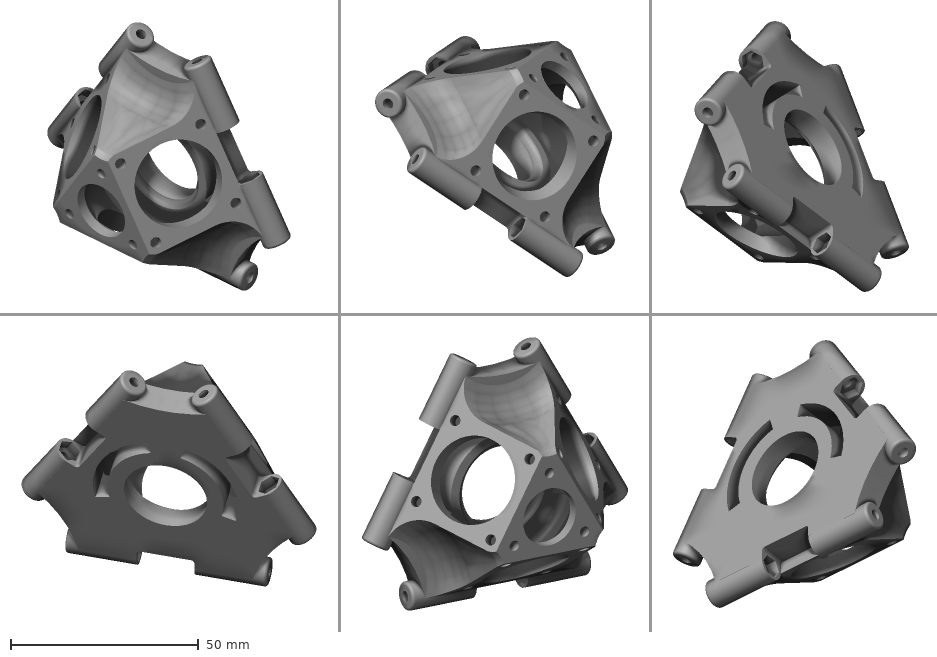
import cadquery as cq
import math


total_depth = 33.0
plate_thickness = 8.05
back_apothem = 26.9
front_apothem = 10.8
face_wall = 3.6
front_wall = 3.0

face_half_width = 15.05
face_corner_radius = 2.0
face_flare_radius = 10.5
face_flare_reach = 8.8

face_bore = 24.0
face_bore_depth = 7.4
tapered_bore_end = 19.9
face_screw_hole = 3.0
face_screw_spacing = 24.0
face_screw_depth = 4.0

front_bore = 16.2
front_screw_hole = 2.9
front_screw_depth = 2.4
front_screw_circle = 25.0

valley_front_z = 16.0
valley_tip_z = 18.45
valley_bend_y = -15.3
valley_bend_z = 21.1
flare_steps = 5

corner_arc_radius = 40.3
corner_arc_reach = 32.4
recess_apothem = 23.2
recess_corner_radius = 1.0

tube_diameter = 8.0
tube_inner_end = 7.9
tube_outer_end = 27.6
tube_rounding = 0.8
tube_hole = 3.0
nut_corners = 6.7
nut_depth = 3.0

cavity_diameter = 39.8
cavity_front_diameter = 22.55
cavity_shoulder_y = -12.5
cavity_rounding = 1.9
hub_bore = 22.7
hub_diameter = 31.9
slot_span = 90.0
slot_middles = (30, 150)

slope_rise = total_depth - plate_thickness
slope_run = back_apothem - front_apothem
slope_length = math.hypot(slope_rise, slope_run)
slope_cos = slope_rise / slope_length
slope_sin = slope_run / slope_length
cavity_radius = cavity_diameter / 2
cavity_floor_y = -plate_thickness
cavity_rounding_y = cavity_floor_y - cavity_rounding
cavity_front_y = -total_depth + front_wall
hub_radius = hub_bore / 2
tube_length = tube_outer_end - tube_inner_end
side_cos = math.cos(math.radians(30))
side_sin = math.sin(math.radians(30))


def three_times(shape):
    """The shape and its two copies turned about the Y axis."""
    return [shape.rotate((0, 0, 0), (0, 1, 0), angle) for angle in (0, 120, 240)]


def six_times(shape):
    """The shape and its mirror image, each three times."""
    return three_times(shape) + three_times(shape.mirror("YZ"))


def cut_all(target, tools):
    for tool in tools:
        target = target.cut(tool, clean=False)
    return target


def triangle(y, apothem):
    """Wire of a triangle across the axis, with one side at the bottom."""
    half_side = apothem * side_cos / side_sin
    corners = [
        cq.Vector(-half_side, y, -apothem),
        cq.Vector(half_side, y, -apothem),
        cq.Vector(0, y, apothem / side_sin),
    ]
    return cq.Wire.makePolygon(corners, close=True)


def pyramid(y_back, apothem_back, y_front, apothem_front):
    ends = [triangle(y_back, apothem_back), triangle(y_front, apothem_front)]
    return cq.Workplane(cq.Solid.makeLoft(ends, True))


def across_axis(y, z=0):
    """Workplane across the axis at y; extruding from it runs towards the front."""
    return cq.Workplane("XZ", origin=(0, y, z))


def scoop_section(half_width, slope_distance, valley_y, valley_z):
    """Circle through a valley point and the points at equal height on two face outlines.

    The face points lie slope_distance down the slope from the front edge.
    """
    apothem = front_apothem + slope_distance * slope_sin
    half_chord = side_cos * apothem - side_sin * half_width
    chord_y = -total_depth + slope_distance * slope_cos
    chord_z = side_sin * apothem + side_cos * half_width
    sag = cq.Vector(0, chord_y - valley_y, chord_z - valley_z)
    radius = (half_chord**2 + sag.Length**2) / (2 * sag.Length)
    center = cq.Vector(0, valley_y, valley_z) + sag.normalized() * radius
    plane = cq.Plane(center, (1, 0, 0), cq.Vector(1, 0, 0).cross(sag))
    return cq.Workplane(plane).circle(radius).wires().val()


def tip_sections():
    """Sections along the rounded corners at the front of the faces."""
    sections = []
    for turn in (math.pi / 2, math.pi / 4, 0):
        rounded_off = 1 - math.cos(turn)
        slope_distance = face_corner_radius * (1 - math.sin(turn))
        sections.append(
            scoop_section(
                face_half_width - face_corner_radius * rounded_off,
                slope_distance,
                -total_depth + slope_distance * slope_cos,
                valley_tip_z - (valley_tip_z - valley_front_z) * rounded_off,
            )
        )
    return sections


def flare_sections():
    """Sections along the arcs that widen the faces; the valley bends with them down to the plate."""
    flare_angle = math.acos(1 - face_flare_reach / face_flare_radius)
    flare_start = slope_length - face_flare_radius * math.sin(flare_angle)
    valley_tip_y = -total_depth + face_corner_radius * slope_cos
    bend_start = math.atan2(valley_bend_z - valley_tip_z, valley_bend_y - valley_tip_y)
    bend_radius = (-plate_thickness - valley_bend_y) / (1 - math.sin(bend_start))
    sections = []
    for step in range(flare_steps + 1):
        progress = step / flare_steps
        turn = flare_angle * progress
        bend = bend_start + (math.pi / 2 - bend_start) * progress
        sections.append(
            scoop_section(
                face_half_width + face_flare_radius * (1 - math.cos(turn)),
                flare_start + face_flare_radius * math.sin(turn),
                valley_bend_y + bend_radius * (math.sin(bend) - math.sin(bend_start)),
                valley_bend_z + bend_radius * (math.cos(bend_start) - math.cos(bend)),
            )
        )
    return sections


def scoop_pieces():
    """Rounded tip, straight cone and flare of the scoop at the top corner."""
    tip = tip_sections()
    flare = flare_sections()
    return [
        cq.Workplane(cq.Solid.makeLoft(tip, False)),
        cq.Workplane(cq.Solid.makeLoft([tip[-1], flare[0]], True)),
        cq.Workplane(cq.Solid.makeLoft(flare, False)),
    ]


def corner_cut():
    """Shallow arc that takes off the top corner of the plate."""
    center_z = corner_arc_reach + corner_arc_radius
    return across_axis(0, center_z).circle(corner_arc_radius).extrude(plate_thickness)


def side_recess():
    """Recess in the bottom side of the plate, between its two tubes."""
    height = 2 * (back_apothem - recess_apothem)
    block = across_axis(0, -back_apothem).rect(2 * tube_inner_end, height).extrude(plate_thickness)
    return block.edges("|Y and >Z").fillet(recess_corner_radius)


def cavity():
    """Round cavity with a rounded floor, kept a wall inside the sloping faces."""
    revolved = (
        cq.Workplane("XY")
        .moveTo(0, cavity_front_y)
        .lineTo(cavity_front_diameter / 2, cavity_front_y)
        .lineTo(cavity_radius, cavity_shoulder_y)
        .lineTo(cavity_radius, cavity_rounding_y)
        .radiusArc((cavity_radius - cavity_rounding, cavity_floor_y), -cavity_rounding)
        .lineTo(0, cavity_floor_y)
        .close()
        .revolve(360, (0, 0, 0), (0, 1, 0))
    )
    inset = face_wall / slope_cos
    apothem_at_back = back_apothem + plate_thickness * slope_run / slope_rise
    inside = pyramid(0, apothem_at_back - inset, -total_depth, front_apothem - inset)
    return revolved.intersect(inside)


def hub_hole():
    """Bore through the hub, with a rounded edge at the cavity floor."""
    return (
        cq.Workplane("XY")
        .lineTo(hub_radius, 0)
        .lineTo(hub_radius, cavity_floor_y + cavity_rounding)
        .radiusArc((hub_radius + cavity_rounding, cavity_floor_y), cavity_rounding)
        .lineTo(0, cavity_floor_y)
        .close()
        .revolve(360, (0, 0, 0), (0, 1, 0))
    )


def floor_slots():
    """Curved slots through the cavity floor beside the hub."""
    slot = (
        cq.Workplane("XY")
        .moveTo(hub_diameter / 2, 0)
        .lineTo(cavity_radius, 0)
        .lineTo(cavity_radius, cavity_rounding_y)
        .lineTo(hub_diameter / 2, cavity_rounding_y)
        .close()
        .revolve(slot_span, (0, 0, 0), (0, 1, 0))
    )
    return [slot.rotate((0, 0, 0), (0, 1, 0), -slot_span / 2 - middle) for middle in slot_middles]


def tube_end():
    """Workplane at the inner end of the right-hand tube on the bottom side."""
    return cq.Workplane("YZ", origin=(tube_inner_end, -plate_thickness / 2, -back_apothem))


def tube():
    cylinder = tube_end().circle(tube_diameter / 2).extrude(tube_length)
    return cylinder.faces(">X").edges().fillet(tube_rounding)


def tube_bore():
    return tube_end().circle(tube_hole / 2).extrude(tube_length)


def nut_pocket():
    return tube_end().polygon(6, nut_corners).extrude(nut_depth)


def bottom_face():
    """Workplane in the middle of the bottom face, looking outwards."""
    center = (0, -(total_depth + plate_thickness) / 2, -(front_apothem + back_apothem) / 2)
    return cq.Workplane(cq.Plane(center, (1, 0, 0), (0, -slope_sin, -slope_cos)))


def tapered_bore():
    start = bottom_face().circle(face_bore / 2)
    return start.workplane(offset=-face_bore_depth).circle(tapered_bore_end / 2).loft()


def straight_bores():
    """Bores in the two upper faces."""
    return three_times(bottom_face().circle(face_bore / 2).extrude(-face_bore_depth))[1:]


def face_screw_holes():
    corners = bottom_face().rect(face_screw_spacing, face_screw_spacing, forConstruction=True).vertices()
    return corners.circle(face_screw_hole / 2).extrude(-face_screw_depth)


def front_hole():
    return across_axis(cavity_front_y).circle(front_bore / 2).extrude(front_wall)


def front_screw_hole_top():
    start = across_axis(-total_depth + front_screw_depth, front_screw_circle / 2)
    return start.circle(front_screw_hole / 2).extrude(front_screw_depth)


body = pyramid(0, back_apothem, -plate_thickness, back_apothem)
body = body.union(pyramid(-plate_thickness, back_apothem, -total_depth, front_apothem))
body = cut_all(body, three_times(corner_cut()))
for piece in scoop_pieces():
    body = cut_all(body, three_times(piece))
body = cut_all(body, three_times(side_recess()))
body = cut_all(body, [cavity(), hub_hole(), front_hole()] + floor_slots())

for side_tube in six_times(tube()):
    body = body.union(side_tube, clean=False)
body = cut_all(body, six_times(tube_bore()) + six_times(nut_pocket()))

body = cut_all(body, [tapered_bore()] + straight_bores())
body = cut_all(body, three_times(face_screw_holes()))
result = cut_all(body, three_times(front_screw_hole_top()))